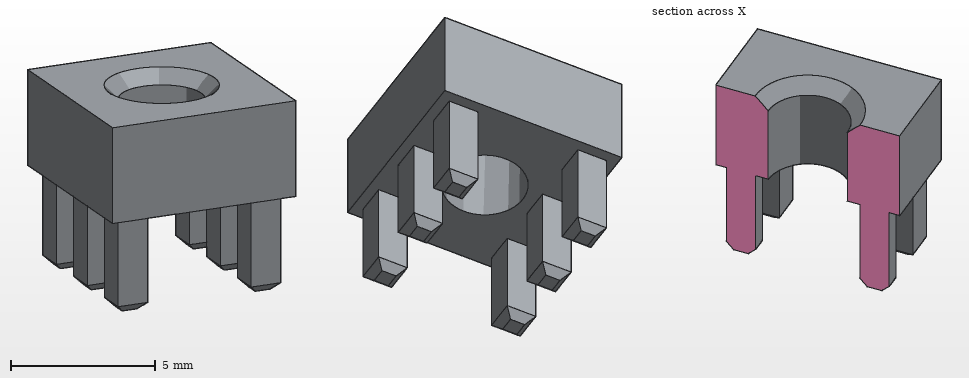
import cadquery as cq

block_side = 7.0
block_height = 3.5
pin_length = 3.5

hole_diameter = 3.0
countersink_diameter = 4.0
countersink_angle = 90.0

pin_width = 1.135
pin_pitch = 2.54
tip_chamfer = 0.29
pin_columns = (-1, 0, 1)
pin_rows = (-1, 1)


def make_block():
    """Square block with a countersunk hole through its centre."""
    return (
        cq.Workplane("XY")
        .workplane(offset=pin_length)
        .rect(block_side, block_side)
        .extrude(block_height)
        .faces(">Z")
        .workplane()
        .cskHole(hole_diameter, countersink_diameter, countersink_angle)
    )


def make_pin():
    """Square pin, chamfered around its lower end."""
    return (
        cq.Workplane("XY")
        .rect(pin_width, pin_width)
        .extrude(pin_length)
        .faces("<Z")
        .chamfer(tip_chamfer)
    )


result = make_block()
pin = make_pin()
for column in pin_columns:
    for row in pin_rows:
        result = result.union(pin.translate((column * pin_pitch, row * pin_pitch, 0)))